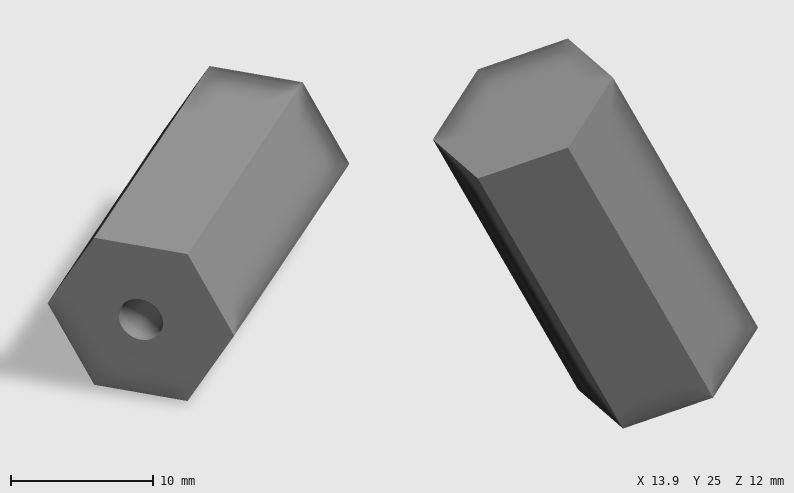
import cadquery as cq
import math

LENGTH = 25.0
ACROSS_FLATS = 12.0
SOCKET_DEPTH = 10.0
KNURL_TIP_DIAMETER = 8.0
TOOTH_COUNT = 40
TOOTH_ANGLE = 90.0
SLEEVE_DIAMETER = 7.0
BORE_DIAMETER = 3.3

HEXAGON_SIDES = 6
ACROSS_CORNERS = ACROSS_FLATS / math.cos(math.pi / HEXAGON_SIDES)

TIP_RADIUS = KNURL_TIP_DIAMETER / 2
HALF_PITCH = math.pi / TOOTH_COUNT
HALF_TOOTH_ANGLE = math.radians(TOOTH_ANGLE / 2)
ROOT_RADIUS = TIP_RADIUS * math.sin(HALF_TOOTH_ANGLE) / math.sin(HALF_TOOTH_ANGLE + HALF_PITCH)


def end_face():
    """Sketch plane on the -Y end; a negative extrusion runs toward +Y."""
    return cq.Workplane("XZ", origin=(0, -LENGTH / 2, 0))


def make_knurl_prism():
    """Solid prism of the socket's depth, with pointed teeth all around."""
    points = []
    for tooth in range(TOOTH_COUNT):
        tip_angle = 2 * HALF_PITCH * tooth
        root_angle = tip_angle + HALF_PITCH
        points.append((TIP_RADIUS * math.cos(tip_angle), TIP_RADIUS * math.sin(tip_angle)))
        points.append((ROOT_RADIUS * math.cos(root_angle), ROOT_RADIUS * math.sin(root_angle)))
    return end_face().polyline(points).close().extrude(-SOCKET_DEPTH)


def make_housing():
    """Hexagonal body with two corners on the X axis and a blind toothed socket."""
    hexagon = end_face().polygon(HEXAGON_SIDES, ACROSS_CORNERS).extrude(-LENGTH)
    return hexagon.cut(make_knurl_prism())


def make_knurled_ring():
    """Toothed ring with a round hole that holds the sleeve."""
    sleeve_hole = end_face().circle(SLEEVE_DIAMETER / 2).extrude(-SOCKET_DEPTH)
    return make_knurl_prism().cut(sleeve_hole)


def make_sleeve():
    """Plain sleeve whose bore ends at the socket floor."""
    return end_face().circle(SLEEVE_DIAMETER / 2).circle(BORE_DIAMETER / 2).extrude(-SOCKET_DEPTH)


housing = make_housing()
knurled_ring = make_knurled_ring()
sleeve = make_sleeve()

result = cq.Compound.makeCompound([housing.val(), knurled_ring.val(), sleeve.val()])